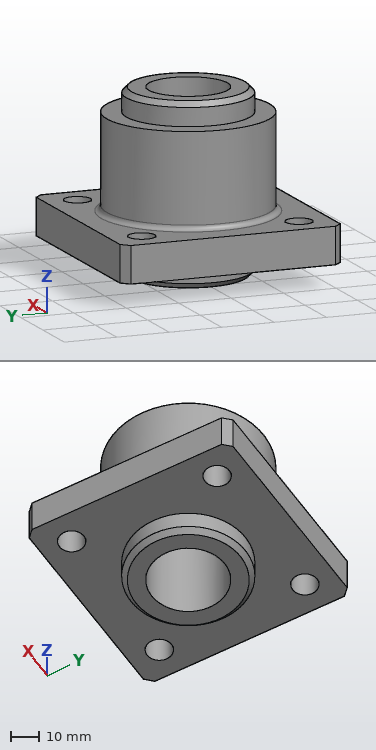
import cadquery as cq

flange_side = 84.0
flange_thickness = 14.0
corner_chamfer = 2.9

housing_diameter = 62.0
housing_top = 50.0
root_fillet = 2.0

bushing_diameter = 47.0
bushing_projection = 9.0
bushing_chamfer = 2.0
bore_diameter = 30.0

hole_diameter = 10.0
hole_spacing = 60.0


def make_flange():
    plate = cq.Workplane("XY").rect(flange_side, flange_side).extrude(flange_thickness)
    plate = plate.edges("|Z").chamfer(corner_chamfer)
    return (
        plate.faces(">Z").workplane()
        .rect(hole_spacing, hole_spacing, forConstruction=True)
        .vertices().hole(hole_diameter)
    )


def make_housing():
    """Revolved housing with a concave fillet at its root on the flange."""
    radius = housing_diameter / 2
    profile = (
        cq.Workplane("XZ")
        .lineTo(radius + root_fillet, 0)
        .lineTo(radius + root_fillet, flange_thickness)
        .radiusArc((radius, flange_thickness + root_fillet), root_fillet)
        .lineTo(radius, housing_top)
        .lineTo(0, housing_top)
        .close()
    )
    return profile.revolve(360, (0, 0, 0), (0, 1, 0))


def full_height_cylinder(diameter):
    """Cylinder on the Z axis spanning both ends of the bushing."""
    length = housing_top + 2 * bushing_projection
    return (
        cq.Workplane("XY", origin=(0, 0, -bushing_projection))
        .circle(diameter / 2).extrude(length)
    )


bushing = full_height_cylinder(bushing_diameter).faces("<Z or >Z").chamfer(bushing_chamfer)
bore = full_height_cylinder(bore_diameter)

result = make_flange().union(make_housing()).union(bushing).cut(bore)